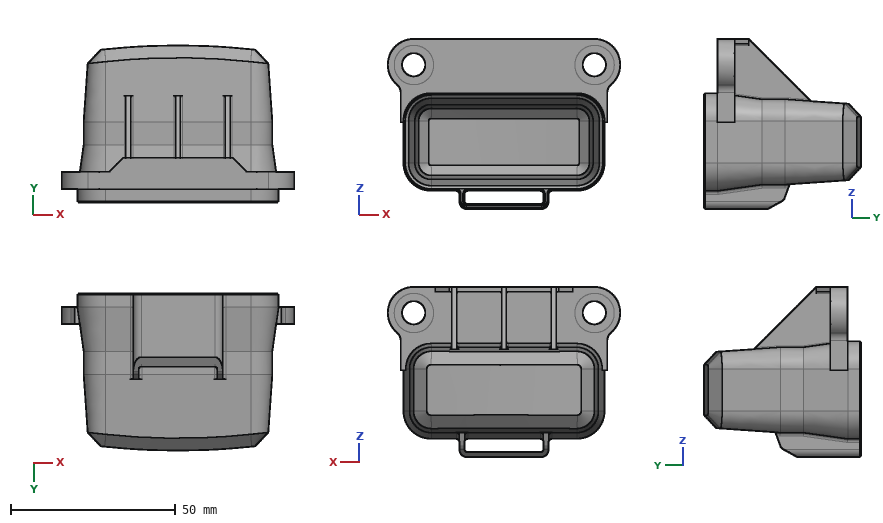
import cadquery as cq
import math


wall = 1.6
corner_x = 22.15
corner_z = 6.4
mouth_radius = 8.5
waist_radius = 6.6
back_radius = 5.0
mouth_end_y = 4.15
waist_start_y = 17.6
waist_end_y = 24.7
depth = 47.9
crown_radius = 210.0
back_chamfer = 3.8
lip_outer_chamfer = 0.5
lip_inner_chamfer = 1.0

flange_back_y = 9.4
flange_half_width = 31.5
flange_bottom_z = 6.0
hole_x = 27.5
hole_z = 23.5
hole_diameter = 7.0
bushing_diameter = 12.0
lug_radius = 7.915
lug_fillet = 3.0
flange_top_z = hole_z + lug_radius

rib_pitch = 15.1
rib_thickness = 1.5
rib_fillet = 0.5
shelf_thickness = 1.5
shelf_back_y = 13.65
shelf_half_width = 16.7

loop_half_width = 13.6
loop_wall = 1.6
loop_bottom_z = flange_top_z - 51.89
loop_corner_radius = 2.4
loop_fillet = 1.0
loop_lead_in = 1.7
loop_floor_end_y = 19.4
loop_bend_y = 24.4
loop_bend_z = -17.7
loop_root_y = 26.1
loop_bend_radius = 2.0


def front_plane(y):
    """Workplane at depth y, with local x along +X, local y along +Z and its normal along -Y."""
    return cq.Workplane("XZ", origin=(0, y, 0))


def hood_section(radius):
    """Hood cross-section with the given corner radius."""
    width = 2 * (corner_x + radius)
    height = 2 * (corner_z + radius)
    return cq.Sketch().rect(width, height).vertices().fillet(radius)


def frustum(near, far):
    """Solid between two (depth, corner radius) stations."""
    near_y, near_radius = near
    far_y, far_radius = far
    far_section = hood_section(far_radius).moved(cq.Location(cq.Vector(0, 0, near_y - far_y)))
    return front_plane(near_y).placeSketch(hood_section(near_radius), far_section).loft(ruled=True)


def hood_form(inset):
    """Solid form of the hood, offset inwards by inset, with a crowned and chamfered closed end."""
    stations = [
        (0, mouth_radius - inset),
        (mouth_end_y, mouth_radius - inset),
        (waist_start_y, waist_radius - inset),
        (waist_end_y, waist_radius - inset),
        (depth, back_radius - inset),
    ]
    form = frustum(stations[0], stations[1])
    for near, far in zip(stations[1:], stations[2:]):
        form = form.union(frustum(near, far))
    crown = (
        cq.Workplane("XY")
        .center(0, depth - crown_radius)
        .circle(crown_radius - inset)
        .extrude(2 * depth, both=True)
    )
    form = form.intersect(crown)
    chamfer = back_chamfer - inset * (2 - math.sqrt(2))
    return form.faces(">Y").edges().chamfer(chamfer)


def edges_along_y_at(body, x_values, z_low, z_high):
    """Edges that lie in one of the planes X = x and between two heights."""
    tolerance = 0.01

    def wanted(edge):
        box = edge.BoundingBox()
        on_plane = any(abs(box.xmin - x) < tolerance and abs(box.xmax - x) < tolerance for x in x_values)
        return on_plane and box.zmin > z_low and box.zmax < z_high and box.ylen > tolerance

    return body.newObject([edge for edge in body.edges().vals() if wanted(edge)])


def strap_loop():
    """U-shaped loop below the hood, with its back end trimmed along a bent line."""
    def u_block(half_width, bottom_z, radius):
        block = (
            front_plane(0)
            .center(0, bottom_z / 2)
            .rect(2 * half_width, -bottom_z)
            .extrude(-depth)
        )
        return block.edges("|Y and <Z").fillet(radius)

    outer = u_block(loop_half_width, loop_bottom_z, loop_corner_radius)
    inner = u_block(
        loop_half_width - loop_wall, loop_bottom_z + loop_wall, loop_corner_radius - loop_wall
    )
    root_z = -corner_z - waist_radius
    side = (
        cq.Workplane("YZ")
        .moveTo(0, loop_bottom_z)
        .lineTo(loop_floor_end_y, loop_bottom_z)
        .lineTo(loop_bend_y, loop_bend_z)
        .lineTo(loop_root_y, root_z)
        .lineTo(loop_root_y, -corner_z)
        .lineTo(0, -corner_z)
        .close()
        .extrude(loop_half_width, both=True)
    )
    bend = cq.selectors.NearestToPointSelector((0, loop_bend_y, loop_bend_z))
    side = side.edges("|X").edges(bend).fillet(loop_bend_radius)
    return outer.cut(inner).intersect(side)


def hood_with_loop():
    """Solid hood with the filleted strap loop and the outer chamfer around the mouth."""
    body = hood_form(0).union(strap_loop())
    mouth_z = corner_z + mouth_radius
    for x in (loop_half_width, loop_half_width - loop_wall):
        edges = edges_along_y_at(body, (-x, x), -mouth_z - 0.1, -corner_z - back_radius)
        body = edges.fillet(loop_fillet)
    opening = body.faces("<Y").val().innerWires()[0].Edges()
    body = body.newObject(opening).chamfer(loop_lead_in, lip_outer_chamfer)
    outline = body.faces("<Y").val().outerWire().Edges()
    return body.newObject(outline).chamfer(lip_outer_chamfer)


def flange():
    """Mounting plate with two lugs, blended into its straight sides."""
    length = flange_back_y - mouth_end_y
    blend_x = flange_half_width + lug_fillet
    blend_reach = lug_radius + lug_fillet
    blend_z = hole_z - math.sqrt(blend_reach**2 - (blend_x - hole_x) ** 2)
    lug_x = hole_x + (blend_x - hole_x) * lug_radius / blend_reach
    lug_z = hole_z + (blend_z - hole_z) * lug_radius / blend_reach
    half = (
        front_plane(mouth_end_y)
        .moveTo(0, flange_bottom_z)
        .lineTo(flange_half_width, flange_bottom_z)
        .lineTo(flange_half_width, blend_z)
        .radiusArc((lug_x, lug_z), lug_fillet)
        .threePointArc((hole_x + lug_radius, hole_z), (hole_x, flange_top_z))
        .lineTo(0, flange_top_z)
        .close()
        .extrude(-length)
    )
    return half.union(half.mirror("YZ"))


def gusset():
    """Three ribs under a shelf, all sloping at 45 degrees from the shelf's back edge."""
    shelf_front_half = shelf_half_width + shelf_back_y - flange_back_y
    shelf = (
        cq.Workplane("XY", origin=(0, 0, flange_top_z - shelf_thickness))
        .polyline([
            (-shelf_front_half, flange_back_y),
            (shelf_front_half, flange_back_y),
            (shelf_half_width, shelf_back_y),
            (-shelf_half_width, shelf_back_y),
        ])
        .close()
        .extrude(shelf_thickness)
    )
    rib_foot_z = corner_z + back_radius
    slope_length = flange_top_z - rib_foot_z
    wedge = (
        cq.Workplane("YZ")
        .polyline([
            (flange_back_y, flange_top_z),
            (shelf_back_y, flange_top_z),
            (shelf_back_y + slope_length, rib_foot_z),
            (flange_back_y, rib_foot_z),
        ])
        .close()
        .extrude(shelf_front_half, both=True)
    )
    ribs = shelf
    for x in (-rib_pitch, 0, rib_pitch):
        rib = (
            cq.Workplane("XZ", origin=(x, flange_back_y, 0))
            .center(0, (flange_top_z + rib_foot_z) / 2)
            .rect(rib_thickness, slope_length)
            .extrude(-depth)
        )
        ribs = ribs.union(rib)
    return ribs.intersect(wedge)


def add_gusset(body):
    """Join the gusset and fillet its ribs to the hood and the shelf."""
    body = body.union(gusset())
    rib_sides = [x + side * rib_thickness / 2 for x in (-rib_pitch, 0, rib_pitch) for side in (-1, 1)]
    return edges_along_y_at(body, rib_sides, corner_z + back_radius, flange_top_z - 0.1).fillet(rib_fillet)


def at_holes(diameter):
    """Cylinders through the flange at both hole positions."""
    return (
        front_plane(mouth_end_y)
        .pushPoints([(-hole_x, hole_z), (hole_x, hole_z)])
        .circle(diameter / 2)
        .extrude(mouth_end_y - flange_back_y)
    )


cavity = hood_form(wall)
flare_radius = mouth_radius - wall + lip_inner_chamfer
flare = frustum((0, flare_radius), (lip_inner_chamfer, mouth_radius - wall))

result = hood_with_loop().union(flange())
result = add_gusset(result)
result = result.cut(cavity).cut(flare)
bushings = at_holes(bushing_diameter).cut(at_holes(hole_diameter))
result = result.cut(at_holes(bushing_diameter)).union(bushings, clean=False)